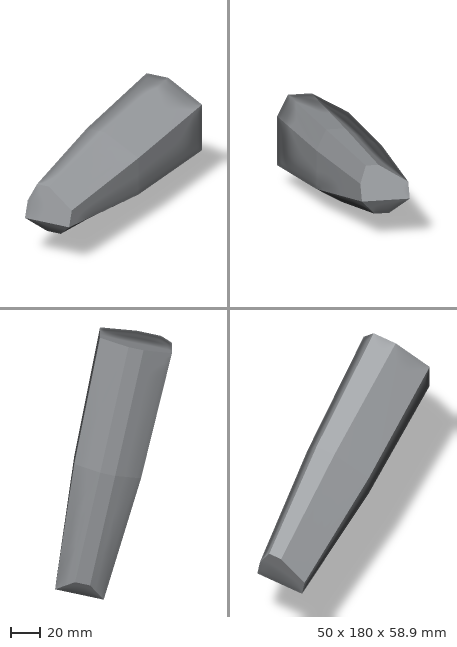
import cadquery as cq

length = 180.0
middle_distance = 90.0
bottom_half_width = 5.2

ridge_height = 23.2
tip_top_height = 46.3
tip_bottom_height = 11.9
upper_setback = 8.1
lower_setback = 10.0


def section_outline(half_width, top, left_shoulder, right_shoulder, lower_corner, bottom, top_left, top_right):
    """Eight (x, z) corners, clockwise from the left end of the top edge."""
    return [
        (top_left, top),
        (top_right, top),
        (half_width, right_shoulder),
        (half_width, lower_corner),
        (bottom_half_width, bottom),
        (-bottom_half_width, bottom),
        (-half_width, lower_corner),
        (-half_width, left_shoulder),
    ]


def flat_section(outline, distance):
    return [cq.Vector(x, -distance, z) for x, z in outline]


def tip_distance(z):
    """Distance from the base to the sloped tip faces at height z."""
    if z >= ridge_height:
        return length - upper_setback * (z - ridge_height) / (tip_top_height - ridge_height)
    return length - lower_setback * (ridge_height - z) / (ridge_height - tip_bottom_height)


def side_faces(start, end):
    """Ruled faces joining matching edges of two sections."""
    faces = []
    for i in range(len(start)):
        j = (i + 1) % len(start)
        start_edge = cq.Edge.makeLine(start[i], start[j])
        end_edge = cq.Edge.makeLine(end[i], end[j])
        faces.append(cq.Face.makeRuledSurface(start_edge, end_edge))
    return faces


def flat_face(corners):
    return cq.Face.makeFromWires(cq.Wire.makePolygon(corners, close=True))


base_outline = section_outline(
    half_width=25.0,
    top=58.9,
    left_shoulder=44.3,
    right_shoulder=44.3,
    lower_corner=10.3,
    bottom=0.0,
    top_left=-17.5,
    top_right=-0.7,
)
middle_outline = section_outline(
    half_width=23.2,
    top=54.0,
    left_shoulder=39.8,
    right_shoulder=40.1,
    lower_corner=13.0,
    bottom=2.9,
    top_left=-16.4,
    top_right=-2.9,
)
tip_outline = section_outline(
    half_width=17.0,
    top=tip_top_height,
    left_shoulder=34.7,
    right_shoulder=34.2,
    lower_corner=ridge_height,
    bottom=tip_bottom_height,
    top_left=-11.9,
    top_right=-2.9,
)

base = flat_section(base_outline, 0.0)
middle = flat_section(middle_outline, middle_distance)
tip = [cq.Vector(x, -tip_distance(z), z) for x, z in tip_outline]

upper_tip_face = flat_face(tip[:4] + tip[6:])
lower_tip_face = flat_face(tip[3:7])

faces = side_faces(base, middle) + side_faces(middle, tip)
faces += [flat_face(base), upper_tip_face, lower_tip_face]
body = cq.Solid.makeSolid(cq.Shell.makeShell(faces))
result = cq.Workplane("XY").newObject([body.fix()])